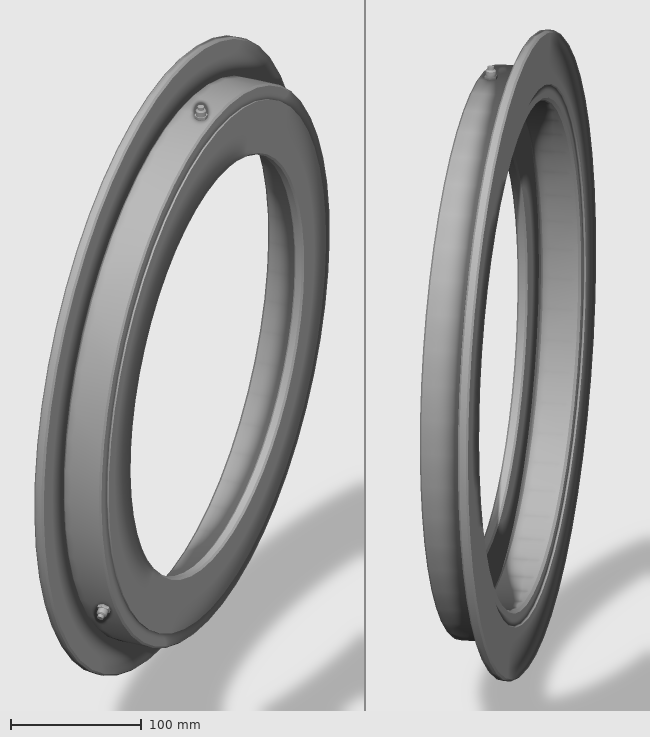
import cadquery as cq
import math

TOTAL_WIDTH = 45.0
FLANGE_THICKNESS = 8.0
RING_CLEARANCE = 4.0
FACE_STEP = 1.5
EDGE_CHAMFER = 1.5

FLANGE_RADIUS = 250.0
FLANGE_STEP_RADIUS = 207.5
FLANGE_STEP_RUN = 1.0
LEG_INNER_RADIUS = 196.0
LEG_CHAMFER = 2.0

LEG_JOINT_RADIUS = 210.0

HOUSING_RADIUS = 221.0
HOUSING_STEP_RADIUS = 209.0
BORE_RADIUS = 165.5

NIPPLE_X = 33.0
NIPPLE_COUNT = 2
FIRST_NIPPLE_ANGLE = 1.0
NIPPLE_SPACING = 120.0
NIPPLE_HEX_ACROSS_FLATS = 9.0
NIPPLE_HEX_HEIGHT = 2.5
NIPPLE_HEAD_DIAMETER = 8.0
NIPPLE_HEAD_HEIGHT = 7.5
NIPPLE_HEAD_CHAMFER = 1.0
NIPPLE_TIP_DIAMETER = 5.0
NIPPLE_HEIGHT = 10.0
NIPPLE_FOOT_ALLOWANCE = 0.5


def revolve_about_x(profile):
    """Revolve a closed outline of (x, radius) points about the X axis."""
    return cq.Workplane("XZ").polyline(profile).close().revolve(360, (0, 0, 0), (1, 0, 0))


def make_flanged_ring():
    """Ring with the outward flange and a leg that reaches into the housing ring."""
    c = EDGE_CHAMFER
    leg_end = TOTAL_WIDTH - FLANGE_THICKNESS - RING_CLEARANCE
    return revolve_about_x([
        (0, FLANGE_STEP_RADIUS + FLANGE_STEP_RUN),
        (0, FLANGE_RADIUS - c),
        (c, FLANGE_RADIUS),
        (FLANGE_THICKNESS - c, FLANGE_RADIUS),
        (FLANGE_THICKNESS, FLANGE_RADIUS - c),
        (FLANGE_THICKNESS, LEG_JOINT_RADIUS),
        (leg_end, LEG_JOINT_RADIUS),
        (leg_end, LEG_INNER_RADIUS + LEG_CHAMFER),
        (leg_end - LEG_CHAMFER, LEG_INNER_RADIUS),
        (FACE_STEP + LEG_CHAMFER, LEG_INNER_RADIUS),
        (FACE_STEP, LEG_INNER_RADIUS + LEG_CHAMFER),
        (FACE_STEP, FLANGE_STEP_RADIUS),
    ])


def make_housing_ring():
    """Ring with the outer housing leg and the inward flange."""
    c = EDGE_CHAMFER
    leg_start = FLANGE_THICKNESS + RING_CLEARANCE
    leg_face = TOTAL_WIDTH - FACE_STEP
    flange_front = TOTAL_WIDTH - FLANGE_THICKNESS
    return revolve_about_x([
        (leg_start, LEG_JOINT_RADIUS),
        (leg_start, HOUSING_RADIUS - c),
        (leg_start + c, HOUSING_RADIUS),
        (leg_face - c, HOUSING_RADIUS),
        (leg_face, HOUSING_RADIUS - c),
        (leg_face, HOUSING_STEP_RADIUS),
        (TOTAL_WIDTH, HOUSING_STEP_RADIUS),
        (TOTAL_WIDTH, BORE_RADIUS + c),
        (TOTAL_WIDTH - c, BORE_RADIUS),
        (flange_front + c, BORE_RADIUS),
        (flange_front, BORE_RADIUS + c),
        (flange_front, LEG_JOINT_RADIUS),
    ])


def make_grease_nipple(angle):
    """Hexagon foot, round head and narrower tip, set radially at an angle from +Z."""
    hex_across_corners = NIPPLE_HEX_ACROSS_FLATS / math.cos(math.radians(30))
    foot = (
        cq.Workplane("XY")
        .polygon(6, hex_across_corners)
        .extrude(NIPPLE_FOOT_ALLOWANCE + NIPPLE_HEX_HEIGHT)
        .rotate((0, 0, 0), (0, 0, 1), 90)
        .translate((0, 0, -NIPPLE_FOOT_ALLOWANCE))
    )
    head = (
        cq.Workplane("XY")
        .circle(NIPPLE_HEAD_DIAMETER / 2)
        .extrude(NIPPLE_HEAD_HEIGHT)
        .faces(">Z")
        .chamfer(NIPPLE_HEAD_CHAMFER)
    )
    tip = cq.Workplane("XY").circle(NIPPLE_TIP_DIAMETER / 2).extrude(NIPPLE_HEIGHT)
    housing_cylinder = cq.Workplane("YZ").circle(HOUSING_RADIUS).extrude(TOTAL_WIDTH)
    return (
        foot.union(head)
        .union(tip)
        .translate((NIPPLE_X, 0, HOUSING_RADIUS))
        .cut(housing_cylinder)
        .rotate((0, 0, 0), (1, 0, 0), angle)
    )


flanged_ring = make_flanged_ring()
housing_ring = make_housing_ring()
grease_nipples = [
    make_grease_nipple(FIRST_NIPPLE_ANGLE + i * NIPPLE_SPACING) for i in range(NIPPLE_COUNT)
]

result = cq.Compound.makeCompound([
    flanged_ring.val(),
    housing_ring.val(),
    *[nipple.val() for nipple in grease_nipples],
])